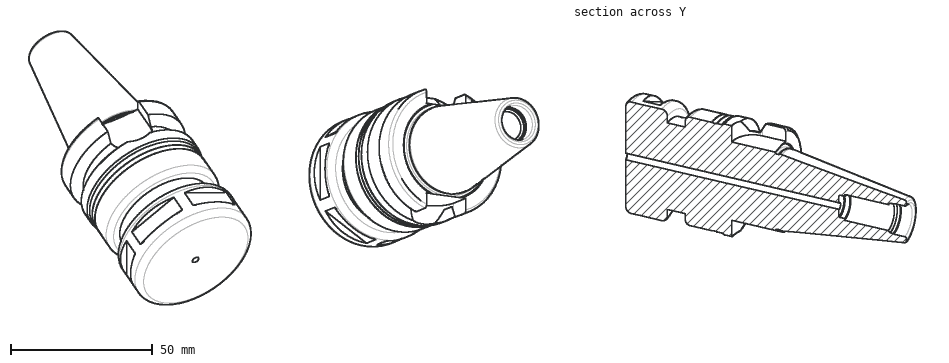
import cadquery as cq
import math

LENGTH = 108.4
TAPER_END_X = 48.2
NECK_X = 49.0
FLANGE_X = 50.3
GROOVE_START_X = 57.9
GROOVE_FLOOR_START_X = 60.2
GROOVE_FLOOR_END_X = 63.5
COLLAR_X = 66.0
COLLAR_END_X = 70.2
BODY_X = 71.2
BAND_START_X = 73.2
BAND_END_X = 75.1
BODY_END_X = 85.4
NUT_X = 92.2

FLANGE_R = 23.0
TAPER_R = 31.8 / 2
TAPER_SLOPE = 7 / 48
TAPER_SMALL_R = TAPER_R - TAPER_SLOPE * TAPER_END_X
NECK_R = 15.6
GROOVE_R = 19.1
BODY_R = 45.0 / 2
BAND_R = BODY_R - 0.1
STEM_R = 36.0 / 2
NUT_R = 46.3 / 2

TAPER_TIP_FILLET = 1.0
NECK_CHAMFER = TAPER_R - NECK_R
NECK_FILLET = 0.5
FLANGE_FILLET = 1.1
BODY_FILLET = 2.0
NUT_FILLET = 2.3

RECESS_R = 17.5
RECESS_DEPTH = 0.2
RECESS_CHAMFER = 0.3

SLOT_WIDTH = 16.0
SLOT_END_X = 67.3
SLOT_FLOOR_Z = 16.3

FLAT_COUNT = 6
FLAT_RADIUS = 21.0
FLAT_START_X = 96.2
FLAT_LENGTH = 6.4
FLAT_WALL_DRAFT = 15

BORE_ENTRY_FILLET = 0.8
PILOT_R = 12.5 / 2
PILOT_END_X = 4.9
LEAD_R = 12.0 / 2
LEAD_END_X = 6.3
CORE_R = 10.5 / 2
CORE_END_X = 23.8
BOTTOM_R = 9.0 / 2
BOTTOM_END_X = 26.0
FLOOR_R = 8.5 / 2
COOLANT_R = 2.5 / 2


def revolve(points):
    """Turn a closed (x, radius) outline about the X axis."""
    return cq.Workplane("XY").polyline(points).close().revolve(360, (0, 0, 0), (1, 0, 0))


def cylinder(start_x, end_x, radius):
    return cq.Workplane("YZ", origin=(start_x, 0, 0)).circle(radius).extrude(end_x - start_x)


def taper_shank():
    """Tapered shank with a rounded tip and a neck that blends into the flange recess."""
    neck_root_x = FLANGE_X + RECESS_DEPTH
    inside_x = FLANGE_X + FLANGE_FILLET
    arc_offset = NECK_FILLET * (1 - math.cos(math.radians(45)))
    root_arc_middle = (neck_root_x - arc_offset, NECK_R + arc_offset)
    shank = (
        cq.Workplane("XY")
        .polyline([
            (0, 0),
            (0, TAPER_SMALL_R),
            (TAPER_END_X, TAPER_R),
            (NECK_X, TAPER_R),
            (NECK_X + NECK_CHAMFER, NECK_R),
            (neck_root_x - NECK_FILLET, NECK_R),
        ])
        .threePointArc(root_arc_middle, (neck_root_x, NECK_R + NECK_FILLET))
        .lineTo(inside_x, NECK_R + NECK_FILLET)
        .lineTo(inside_x, 0)
        .close()
        .revolve(360, (0, 0, 0), (1, 0, 0))
    )
    return shank.faces("<X").edges().fillet(TAPER_TIP_FILLET)


def flange_recess():
    return revolve([
        (FLANGE_X, NECK_R),
        (FLANGE_X, RECESS_R),
        (FLANGE_X + RECESS_DEPTH, RECESS_R - RECESS_CHAMFER),
        (FLANGE_X + RECESS_DEPTH, NECK_R),
    ])


def flange_and_body():
    blank = revolve([
        (FLANGE_X, 0),
        (FLANGE_X, FLANGE_R),
        (GROOVE_START_X, FLANGE_R),
        (GROOVE_FLOOR_START_X, GROOVE_R),
        (GROOVE_FLOOR_END_X, GROOVE_R),
        (COLLAR_X, FLANGE_R),
        (COLLAR_END_X, FLANGE_R),
        (BODY_X, BODY_R),
        (BAND_START_X, BODY_R),
        (BAND_START_X, BAND_R),
        (BAND_END_X, BAND_R),
        (BAND_END_X, BODY_R),
        (BODY_END_X, BODY_R),
        (BODY_END_X, 0),
    ])
    blank = blank.faces("<X").edges().fillet(FLANGE_FILLET)
    blank = blank.faces(">X").edges().fillet(BODY_FILLET)
    return blank.cut(flange_recess())


def drive_slots():
    """Round-ended keyways on the +Z and -Z sides, open towards the shank."""
    end_center_x = SLOT_END_X - SLOT_WIDTH / 2
    straight = end_center_x - FLANGE_X
    depth = FLANGE_R - SLOT_FLOOR_Z
    slots = cq.Workplane("XY")
    for floor_z in (SLOT_FLOOR_Z, -FLANGE_R):
        plane = cq.Workplane("XY", origin=(end_center_x, 0, floor_z))
        slots = slots.add(plane.circle(SLOT_WIDTH / 2).extrude(depth))
        slots = slots.add(plane.center(-straight / 2, 0).rect(straight, SLOT_WIDTH).extrude(depth))
    return slots.combine()


def nut():
    """Clamping nut with wrench flats sunk into its rim."""
    ring = cylinder(NUT_X, LENGTH, NUT_R).edges().fillet(NUT_FILLET)
    depth = NUT_R - FLAT_RADIUS
    flare = depth * math.tan(math.radians(FLAT_WALL_DRAFT))
    flat_end_x = FLAT_START_X + FLAT_LENGTH
    cutter = (
        cq.Workplane("XY")
        .polyline([
            (FLAT_START_X, FLAT_RADIUS),
            (flat_end_x, FLAT_RADIUS),
            (flat_end_x + flare, NUT_R),
            (FLAT_START_X - flare, NUT_R),
        ])
        .close()
        .extrude(NUT_R, both=True)
    )
    for index in range(FLAT_COUNT):
        ring = ring.cut(cutter.rotate((0, 0, 0), (1, 0, 0), index * 360 / FLAT_COUNT))
    return ring


def bore():
    """Pull-stud bore stepping down to a coolant hole that runs through the part."""
    return revolve([
        (0, 0),
        (0, PILOT_R),
        (PILOT_END_X, PILOT_R),
        (PILOT_END_X + PILOT_R - LEAD_R, LEAD_R),
        (LEAD_END_X, LEAD_R),
        (LEAD_END_X + LEAD_R - CORE_R, CORE_R),
        (CORE_END_X, CORE_R),
        (CORE_END_X, BOTTOM_R),
        (BOTTOM_END_X - (BOTTOM_R - FLOOR_R), BOTTOM_R),
        (BOTTOM_END_X, FLOOR_R),
        (BOTTOM_END_X, COOLANT_R),
        (LENGTH, COOLANT_R),
        (LENGTH, 0),
    ])


result = (
    flange_and_body()
    .union(taper_shank())
    .cut(drive_slots())
    .union(cylinder(BODY_END_X, NUT_X, STEM_R))
    .union(nut())
    .cut(bore())
    .faces("<X")
    .edges("%CIRCLE")
    .edges(cq.selectors.RadiusNthSelector(0))
    .fillet(BORE_ENTRY_FILLET)
)